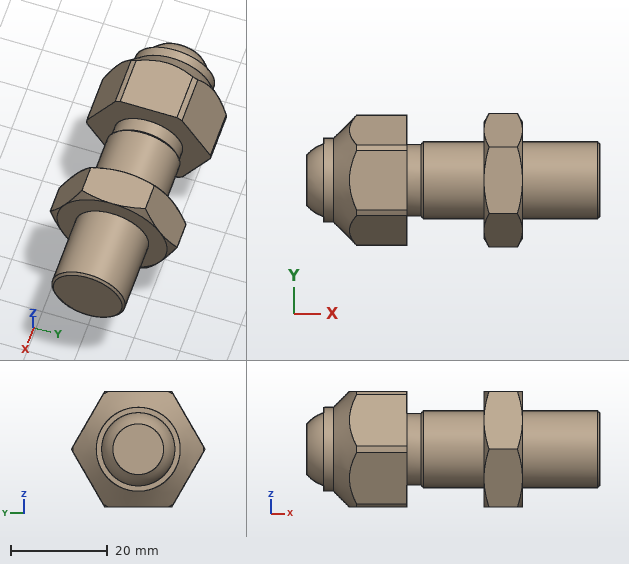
import cadquery as cq
import math


total_length = 60.7
across_flats = 24.0
across_corners = across_flats / math.cos(math.radians(30))

ball_radius = 8.0
ball_flat_radius = 5.25
ball_center_x = math.sqrt(ball_radius**2 - ball_flat_radius**2)

collar_start_x = 3.5
collar_length = 2.05
collar_radius = 8.7
cone_start_x = collar_start_x + collar_length
head_corner_radius = 13.5
head_end_x = 20.75
neck_radius = 7.45
neck_end_x = 23.65
thread_radius = 8.0
thread_start_x = neck_end_x + thread_radius - neck_radius
thread_chamfer = 0.5

nut_start_x = 36.7
nut_thickness = 8.0
nut_chamfer_angle = 30.0
nut_face_radius = across_flats / 2


def hexagon(start_x, length):
    """Hexagonal prism along X with its corners pointing to +Y and -Y."""
    return (
        cq.Workplane("YZ", origin=(start_x, 0, 0))
        .polygon(6, across_corners)
        .extrude(length)
    )


def turned(profile_points):
    """Solid of revolution about X from (x, radius) points that start and end on the axis."""
    return cq.Workplane("XZ").polyline(profile_points).close().revolve(360, (0, 0, 0), (1, 0, 0))


def make_ball():
    """Sphere with its tip cut off flat at x = 0."""
    return (
        cq.Workplane("XZ")
        .lineTo(0, ball_flat_radius)
        .radiusArc((ball_center_x, ball_radius), ball_radius)
        .radiusArc((ball_center_x + ball_radius, 0), ball_radius)
        .close()
        .revolve(360, (0, 0, 0), (1, 0, 0))
    )


def make_stud(ball):
    """Collar, coned hex head, neck and threaded shank, with a socket that fits the ball."""
    cone_end_x = cone_start_x + head_corner_radius - collar_radius
    head_envelope = turned([
        (cone_start_x, 0),
        (cone_start_x, collar_radius),
        (cone_end_x, head_corner_radius),
        (head_end_x, head_corner_radius),
        (head_end_x, 0),
    ])
    head = hexagon(cone_start_x, head_end_x - cone_start_x).intersect(head_envelope)

    collar = (
        cq.Workplane("YZ", origin=(collar_start_x, 0, 0))
        .circle(collar_radius)
        .extrude(collar_length)
    )

    shank = turned([
        (head_end_x, 0),
        (head_end_x, neck_radius),
        (neck_end_x, neck_radius),
        (thread_start_x, thread_radius),
        (total_length - thread_chamfer, thread_radius),
        (total_length, thread_radius - thread_chamfer),
        (total_length, 0),
    ])
    return head.union(collar).union(shank).cut(ball)


def make_nut():
    """Hex nut with both faces chamfered at the corners and a bore that fits the thread."""
    corner_radius = across_corners / 2
    chamfer_length = (corner_radius - nut_face_radius) * math.tan(math.radians(nut_chamfer_angle))
    nut_end_x = nut_start_x + nut_thickness
    envelope = turned([
        (nut_start_x, 0),
        (nut_start_x, nut_face_radius),
        (nut_start_x + chamfer_length, corner_radius),
        (nut_end_x - chamfer_length, corner_radius),
        (nut_end_x, nut_face_radius),
        (nut_end_x, 0),
    ])
    bore = cq.Workplane("YZ", origin=(nut_start_x, 0, 0)).circle(thread_radius).extrude(nut_thickness)
    return hexagon(nut_start_x, nut_thickness).intersect(envelope).cut(bore)


ball = make_ball()
stud = make_stud(ball)
nut = make_nut()

result = cq.Compound.makeCompound([stud.val(), ball.val(), nut.val()])